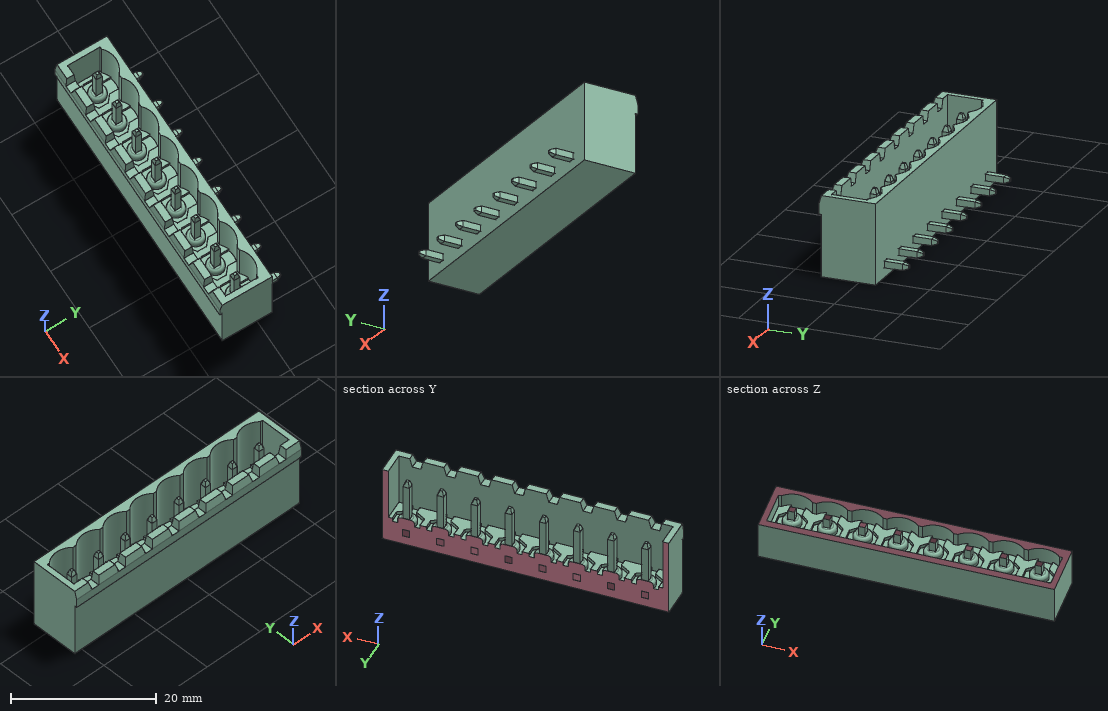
import cadquery as cq

pole_count = 8
pitch = 5.07

length = 42.65
depth = 8.5
height = 12.0
lip_overhang = 0.4
lip_height = 2.8
chamfer_height = 1.32

end_wall = 0.95
front_wall = 1.55
cavity_back_y = 6.8
floor_z = 4.0
lobe_radius = 3.25
lobe_peak_y = 7.68

notch_top_width = 2.0
notch_bottom_width = 1.25
notch_depth = chamfer_height

recess_depth = 0.5
recess_width = 4.15
front_slot_width = 1.02
back_slot_width = 2.05
recess_neck_y = 2.7
recess_front_y = 3.65
recess_rear_y = 5.1
recess_shoulder_y = 6.0

collar_diameter = 2.75
collar_height = 1.0
collar_round = 0.5

pin_width = 1.0
pin_y = 4.7
pin_top_z = 10.65
pin_leg_z = 1.95
pin_reach_y = 12.0
tip_length = 0.75
tip_width = 0.43

first_pin_x = (length - (pole_count - 1) * pitch) / 2
pin_xs = [first_pin_x + i * pitch for i in range(pole_count)]
recess_floor_z = floor_z - recess_depth


def make_block():
    """Side profile with the chamfered lip along the front top edge, swept along X."""
    return (
        cq.Workplane("YZ")
        .moveTo(depth, 0)
        .lineTo(depth, height)
        .lineTo(lip_overhang, height)
        .lineTo(0, height - chamfer_height)
        .lineTo(0, height - lip_height)
        .lineTo(lip_overhang, height - lip_height)
        .lineTo(lip_overhang, 0)
        .close()
        .extrude(length)
    )


def make_lobe(x, bottom_z):
    """Upright cylinder that forms the round back of one pole's chamber."""
    return (
        cq.Workplane("XY", origin=(x, lobe_peak_y - lobe_radius, bottom_z))
        .circle(lobe_radius)
        .extrude(height - bottom_z)
    )


def make_cavity(bottom_z):
    """Cavity space down to the given level: a box plus one round lobe per pole."""
    cavity_length = length - 2 * end_wall
    cavity = cq.Workplane("XY", origin=(end_wall, front_wall, bottom_z)).box(
        cavity_length, cavity_back_y - front_wall, height - bottom_z, centered=False
    )
    lobe_limit = cq.Workplane("XY", origin=(end_wall, cavity_back_y, bottom_z)).box(
        cavity_length, depth - cavity_back_y, height - bottom_z, centered=False
    )
    for x in pin_xs:
        cavity = cavity.union(make_lobe(x, bottom_z).intersect(lobe_limit))
    return cavity


def make_floor_recess(x, recess_space):
    """Octagonal recess with a narrow slot to the front wall and a wide one to the back.

    It is trimmed to recess_space, so that it ends at the round back of the chamber.
    """
    right_side = [
        (front_slot_width / 2, front_wall),
        (front_slot_width / 2, recess_neck_y),
        (recess_width / 2, recess_front_y),
        (recess_width / 2, recess_rear_y),
        (back_slot_width / 2, recess_shoulder_y),
        (back_slot_width / 2, lobe_peak_y),
    ]
    left_side = [(-half_width, y) for half_width, y in reversed(right_side)]
    outline = (
        cq.Workplane("XY", origin=(x, 0, recess_floor_z))
        .polyline(right_side + left_side)
        .close()
        .extrude(recess_depth)
    )
    return outline.intersect(recess_space)


def make_notch(x):
    """Tapered notch through the top of the front wall."""
    return (
        cq.Workplane("XZ", origin=(x, 0, height))
        .polyline([
            (-notch_top_width / 2, 0),
            (notch_top_width / 2, 0),
            (notch_bottom_width / 2, -notch_depth),
            (-notch_bottom_width / 2, -notch_depth),
        ])
        .close()
        .extrude(-front_wall)
    )


def make_collar(x):
    """Round-edged collar standing on the recess floor."""
    return (
        cq.Workplane("XY", origin=(x, pin_y, recess_floor_z))
        .circle(collar_diameter / 2)
        .extrude(collar_height)
        .faces(">Z")
        .edges()
        .fillet(collar_round)
    )


def make_tip(base_plane):
    """Blunt pyramid on the end of a pin leg."""
    return (
        cq.Workplane(base_plane)
        .rect(pin_width, pin_width)
        .workplane(offset=tip_length)
        .rect(tip_width, tip_width)
        .loft()
    )


def make_pin(x):
    """Square pin bent at a right angle: an upright contact leg and a solder leg to the back."""
    upright_bottom_z = pin_leg_z - pin_width / 2
    upright_end_z = pin_top_z - tip_length
    leg_end_y = pin_reach_y - tip_length
    upright = (
        cq.Workplane("XY", origin=(x, pin_y, upright_bottom_z))
        .rect(pin_width, pin_width)
        .extrude(upright_end_z - upright_bottom_z)
    )
    leg = (
        cq.Workplane("XZ", origin=(x, pin_y, pin_leg_z))
        .rect(pin_width, pin_width)
        .extrude(pin_y - leg_end_y)
    )
    top_tip = make_tip(cq.Plane(origin=(x, pin_y, upright_end_z)))
    leg_tip = make_tip(cq.Plane(origin=(x, leg_end_y, pin_leg_z), xDir=(1, 0, 0), normal=(0, 1, 0)))
    return upright.union(leg).union(top_tip).union(leg_tip)


def make_housing(pins):
    """Housing with its cavity, notches, recesses and collars, and a fitting hole for each pin."""
    housing = make_block().cut(make_cavity(floor_z))
    recess_space = make_cavity(recess_floor_z)
    for x, pin in zip(pin_xs, pins):
        housing = housing.cut(make_notch(x)).cut(make_floor_recess(x, recess_space))
        housing = housing.union(make_collar(x)).cut(pin)
    return housing


pins = [make_pin(x) for x in pin_xs]
housing = make_housing(pins)

result = cq.Compound.makeCompound([
    *housing.solids().vals(),
    *[pin.solids().val() for pin in pins],
])